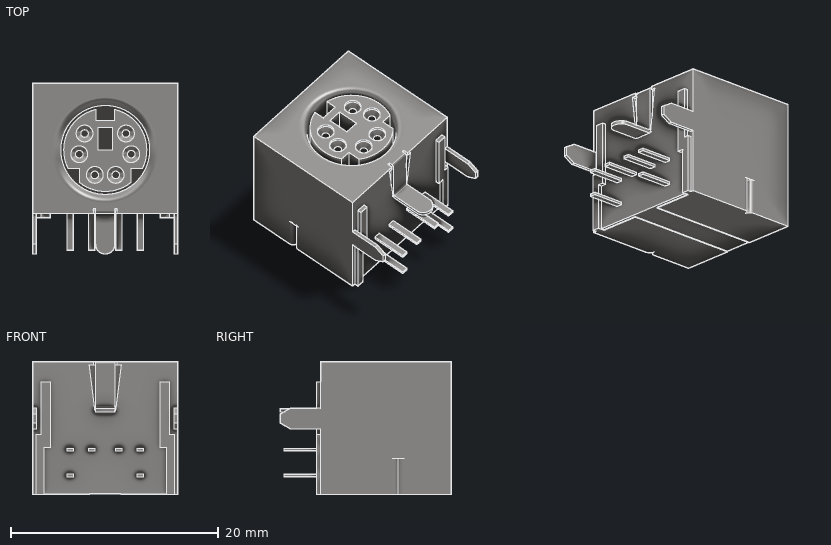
import cadquery as cq
import math


body_width = 14.0
body_depth = 12.61
body_height = 12.83
shell_thickness = 0.35
overlap = 0.17

total_depth = 16.51
tail_reach = total_depth - body_depth

socket_y = 6.15
opening_radius = 4.3
opening_rounding = 0.83
opening_depth = 6.6
block_radius = 4.01
key_width = 1.77
key_floor = 2.85
shoulder_half_width = 2.51
shoulder_offset = 1.82
centre_slot_width = 1.4
centre_slot_length = 2.15

contact_spots = [(2.0, 1.58), (2.51, -0.41), (1.0, -2.41)]
contact_radius = 0.36
countersink_radius = 0.81
countersink_lip = 0.25
countersink_depth = countersink_lip + countersink_radius - contact_radius
contact_depth = 4.95

rail_height = 0.4
rail_outer_x = 6.67
rail_upper_outer_x = 6.2
rail_lower_inner_x = 5.9
rail_inner_x = 5.3
rail_top = 10.88
rail_outer_step = 5.8
rail_inner_step = 4.55

side_tail_centre_z = 7.33
side_tail_width = 2.01
side_tail_tip_width = 0.89
side_tail_taper = 0.99

pin_width = 0.63
pin_thickness = 0.25
pin_reach = 3.55
outer_pin_x = 3.38
inner_pin_x = 1.3
upper_pin_z = 4.33
lower_pin_z = 1.83

tongue_width = 1.88
bend_radius = 0.25
tongue_top = 8.29
window_top_half_width = 1.55
window_bottom_half_width = 1.0
window_top = 12.5
window_bottom = 8.12
corner_slot_width = 2.28
corner_slot_depth = 0.51

seam_y = 7.48
seam_rounding = 0.56
seam_height = 3.47

relief_height = 0.07
relief_width = 3.04


def box(x_range, y_range, z_range):
    """Axis-aligned block between pairs of limits."""
    limits = (x_range, y_range, z_range)
    sizes = [high - low for low, high in limits]
    corner = tuple(low for low, high in limits)
    return cq.Workplane("XY").box(*sizes, centered=False).translate(corner)


def centred_box(width, y_range, z_range):
    return box((-width / 2, width / 2), y_range, z_range)


def both_sides(shape):
    """A shape together with its mirror image across X = 0."""
    return shape.union(shape.mirror("YZ"))


def disc(radius, top, depth, y):
    """Upright cylinder on the plane of symmetry, hanging down from a level."""
    return cq.Workplane("XY", origin=(0, y, top)).circle(radius).extrude(-depth)


def opening():
    """Round cavity whose mouth flares out with a convex quarter round."""
    floor = body_height - opening_depth
    mouth_radius = opening_radius + opening_rounding
    arc_middle = (
        mouth_radius - opening_rounding * math.sin(math.pi / 4),
        body_height - opening_rounding + opening_rounding * math.sin(math.pi / 4),
    )
    profile = (
        cq.Workplane("XZ")
        .moveTo(0, floor)
        .lineTo(opening_radius, floor)
        .lineTo(opening_radius, body_height - opening_rounding)
        .threePointArc(arc_middle, (mouth_radius, body_height))
        .lineTo(0, body_height)
        .close()
    )
    return profile.revolve(360, (0, 0), (0, 1)).translate((0, socket_y, 0))


def contact_hole(x, y):
    """Blind hole entered through a short lip and a cone."""
    profile = (
        cq.Workplane("XZ")
        .moveTo(0, 0)
        .lineTo(countersink_radius, 0)
        .lineTo(countersink_radius, -countersink_lip)
        .lineTo(contact_radius, -countersink_depth)
        .lineTo(contact_radius, -contact_depth)
        .lineTo(0, -contact_depth)
        .close()
    )
    return profile.revolve(360, (0, 0), (0, 1)).translate((x, socket_y + y, body_height))


def contact_block():
    heights = (body_height - opening_depth, body_height)
    block = disc(block_radius, body_height, opening_depth + overlap, socket_y)
    block = block.cut(centred_box(key_width, (socket_y + key_floor, socket_y + block_radius), heights))
    shoulder = box(
        (shoulder_half_width, block_radius),
        (socket_y - block_radius, socket_y - shoulder_offset),
        heights,
    )
    block = block.cut(both_sides(shoulder))
    block = block.cut(centred_box(centre_slot_width, (socket_y, socket_y + centre_slot_length), heights))
    for x, y in contact_spots:
        block = block.cut(both_sides(contact_hole(x, y)))
    return block


def rail():
    profile = (
        cq.Workplane("XZ")
        .moveTo(rail_outer_x, 0)
        .lineTo(rail_outer_x, rail_outer_step)
        .lineTo(rail_upper_outer_x, rail_outer_step)
        .lineTo(rail_upper_outer_x, rail_top)
        .lineTo(rail_inner_x, rail_top)
        .lineTo(rail_inner_x, rail_inner_step)
        .lineTo(rail_lower_inner_x, rail_inner_step)
        .lineTo(rail_lower_inner_x, 0)
        .close()
    )
    return profile.extrude(rail_height)


def side_tail():
    """Flat tail in line with the side wall, tapered on both edges towards its tip."""
    half_width = side_tail_width / 2
    half_tip = side_tail_tip_width / 2
    taper_start = side_tail_taper - tail_reach
    profile = (
        cq.Workplane("YZ", origin=(body_width / 2 - shell_thickness, 0, side_tail_centre_z))
        .moveTo(overlap, half_width)
        .lineTo(taper_start, half_width)
        .lineTo(-tail_reach, half_tip)
        .lineTo(-tail_reach, -half_tip)
        .lineTo(taper_start, -half_width)
        .lineTo(overlap, -half_width)
        .close()
    )
    return profile.extrude(shell_thickness)


def pin(x, z):
    return box(
        (x - pin_width / 2, x + pin_width / 2),
        (-pin_reach, overlap),
        (z - pin_thickness / 2, z + pin_thickness / 2),
    )


def tongue_windows():
    """Tapered window in the front sheet and the slot that continues it over the top edge."""
    window = (
        cq.Workplane("XZ")
        .moveTo(-window_top_half_width, window_top)
        .lineTo(window_top_half_width, window_top)
        .lineTo(window_bottom_half_width, window_bottom)
        .lineTo(-window_bottom_half_width, window_bottom)
        .close()
        .extrude(-shell_thickness)
    )
    return window.union(centred_box(corner_slot_width, (0, corner_slot_depth), (window_top, body_height)))


def tongue():
    """Strip that rolls over the top edge, runs down the front and bends out into a round-ended tail."""
    bend_z = tongue_top + bend_radius
    outer_radius = bend_radius + shell_thickness
    diagonal = math.sin(math.pi / 4)
    strip = (
        cq.Workplane("YZ", origin=(-tongue_width / 2, 0, 0))
        .moveTo(corner_slot_depth, body_height)
        .lineTo(bend_radius, body_height)
        .threePointArc(
            (bend_radius * (1 - diagonal), body_height - bend_radius * (1 - diagonal)),
            (0, body_height - bend_radius),
        )
        .lineTo(0, bend_z)
        .threePointArc((bend_radius * (diagonal - 1), bend_z - bend_radius * diagonal), (-bend_radius, tongue_top))
        .lineTo(-tail_reach, tongue_top)
        .lineTo(-tail_reach, tongue_top - shell_thickness)
        .lineTo(-bend_radius, tongue_top - shell_thickness)
        .threePointArc(
            (outer_radius * diagonal - bend_radius, bend_z - outer_radius * diagonal),
            (shell_thickness, bend_z),
        )
        .lineTo(shell_thickness, window_top)
        .lineTo(corner_slot_depth, window_top)
        .close()
        .extrude(tongue_width)
    )
    end_radius = tongue_width / 2
    end_centre_y = end_radius - tail_reach
    straight = centred_box(tongue_width, (end_centre_y, body_depth), (0, body_height))
    return strip.intersect(straight.union(disc(end_radius, body_height, body_height, end_centre_y)))


def side_seam():
    """Groove between two convex quarter rounds that meet at its bottom."""
    wall_x = body_width / 2
    diagonal = math.sin(math.pi / 4)
    arc_x = wall_x - seam_rounding * (1 - diagonal)
    arc_y = seam_rounding * (1 - diagonal)
    profile = (
        cq.Workplane("XY")
        .moveTo(wall_x, seam_y - seam_rounding)
        .threePointArc((arc_x, seam_y - arc_y), (wall_x - seam_rounding, seam_y))
        .threePointArc((arc_x, seam_y + arc_y), (wall_x, seam_y + seam_rounding))
        .close()
    )
    return profile.extrude(seam_height)


def underside_relief():
    """Shallow channel along the underside, widened at the front between the rails."""
    channel = centred_box(relief_width, (0, body_depth), (0, relief_height))
    return channel.union(centred_box(2 * rail_lower_inner_x, (0, shell_thickness), (0, relief_height)))


result = centred_box(body_width, (0, body_depth), (0, body_height))
result = result.cut(opening()).union(contact_block())
result = result.cut(tongue_windows()).union(tongue())
result = result.cut(both_sides(side_seam())).cut(underside_relief())
result = result.union(both_sides(rail())).union(both_sides(side_tail()))
for pin_x, pin_z in [(outer_pin_x, upper_pin_z), (inner_pin_x, upper_pin_z), (outer_pin_x, lower_pin_z)]:
    result = result.union(both_sides(pin(pin_x, pin_z)))